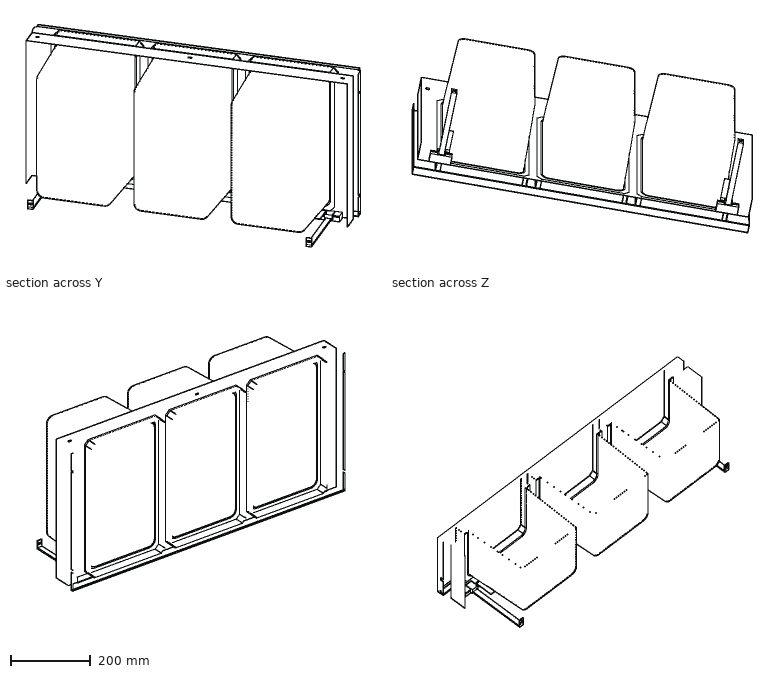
import cadquery as cq
import math

total_height = 402.0
sheet = 1.0

panel_width = 860.0
panel_height = 397.0
panel_back = 11.0
panel_front = 33.0
panel_bend = 2.0
flange_corner_cut = 5.0
hook_width = 848.0
hook_top = 399.5
hook_drop = 13.0
lip_run = 10.0
lip_rise = 9.0
notch_depth = 9.0
notches = ((343.0, 4.0), (56.0, 8.0))

frame_width = hook_width
frame_bottom = 2.5
frame_back = 52.5
frame_front = 103.5
frame_bend = 2.5
frame_plate_front = frame_back + sheet
slot_length = 9.0
slot_width = 4.0
slot_spacing = 402.0
slot_depth_position = 75.5

bin_pitch = 256.0
bin_middle = 208.75
bin_wall = 2.5
rim_back = 21.0
rim_width = 235.0
rim_height = 2 * (total_height - bin_middle)
rim_chamfer = 12.0
rim_cavity_chamfer = rim_chamfer - bin_wall * (2 - math.sqrt(2))
rim_lip = 10.0
body_clearance = 3.5
body_width = rim_width - 2 * (rim_lip + body_clearance)
body_height = rim_height - 2 * (rim_lip + body_clearance)
body_corner = 19.0
body_taper = 1.8
body_end = 237.5
body_edge_fillet = 4.0

bracket_offset = 367.0
bracket_width = 55.0
bracket_front = 78.0
base_front = 76.0
cap_bottom = 13.0
cap_top = 17.0
bridge_width = 20.0
bridge_top = 20.0
bridge_back = 60.0
bridge_front = 84.0
tongue_inner = 6.0
tongue_outer = 20.0
tongue_back = 80.0
tongue_front = 134.0
tongue_top = 30.5
tongue_thickness = 2.0
arm_width = 14.0
arm_bottom = 5.5
arm_thickness = 4.5
arm_back = 57.0
arm_front = 248.3
tip_height = 29.5
tip_thickness = 3.0
tip_slot_length = 7.0
tip_slot_width = 4.0
tip_slot_height = 20.0


def block(x_range, depth_range, z_range):
    """Box between two X values, two depths and two heights."""
    x0, x1 = x_range
    d0, d1 = depth_range
    z0, z1 = z_range
    return cq.Workplane("XY").box(x1 - x0, d1 - d0, z1 - z0, centered=False).translate((x0, -d1, z0))


def centred_block(width, depth_range, z_range):
    """Box that is symmetric about X = 0."""
    return block((-width / 2, width / 2), depth_range, z_range)


def bin_outline(depth, width, height):
    """Rectangle around the middle of a bin, ready to extrude toward -Y."""
    plane = cq.Workplane("XZ", origin=(0, -depth, bin_middle))
    return plane.rect(width, height)


def make_panel():
    """Tray with side notches, a folded bottom lip and a hook along the top."""
    outer = centred_block(panel_width, (panel_back, panel_front), (0, panel_height))
    outer = outer.edges(">Y and |Z").fillet(panel_bend)
    inner = centred_block(
        panel_width - 2 * sheet, (panel_back + sheet, panel_front), (sheet, panel_height)
    )
    inner = inner.edges(">Y and |Z").fillet(panel_bend - sheet)
    tray = outer.cut(inner)

    corner_cut = (
        cq.Workplane("YZ", origin=(-panel_width / 2, 0, 0))
        .moveTo(-panel_front, panel_height)
        .lineTo(-panel_front + flange_corner_cut, panel_height)
        .lineTo(-panel_front, panel_height - flange_corner_cut)
        .close()
        .extrude(panel_width)
    )
    tray = tray.cut(corner_cut)

    for height, opening in notches:
        z_range = (height - opening / 2, height + opening / 2)
        tray = tray.cut(centred_block(panel_width, (panel_front - notch_depth, panel_front), z_range))

    lip_slant = sheet * math.hypot(lip_run, lip_rise) / lip_rise
    lip = (
        cq.Workplane("YZ", origin=(-panel_width / 2, 0, 0))
        .moveTo(-panel_front, 0)
        .lineTo(-panel_front + lip_run, lip_rise)
        .lineTo(-panel_front + lip_run + lip_slant, lip_rise)
        .lineTo(-panel_front + lip_slant, 0)
        .close()
        .extrude(panel_width)
    )

    riser = centred_block(hook_width, (panel_back, panel_back + sheet), (panel_height / 2, hook_top))
    shelf = centred_block(hook_width, (0, panel_back + sheet), (hook_top - sheet, hook_top))
    drop = centred_block(hook_width, (0, sheet), (hook_top - hook_drop, hook_top))
    return tray.union(lip).union(riser).union(shelf).union(drop)


def make_frame():
    """Plate with bin openings, side flanges and a slotted top flange; the bottom is open."""
    outer = centred_block(frame_width, (frame_back, frame_front), (frame_bottom, total_height))
    outer = outer.edges("(>Y and (|Z or >Z)) or (|Y and >Z)").fillet(frame_bend)
    inner = centred_block(
        frame_width - 2 * sheet,
        (frame_plate_front, frame_front),
        (frame_bottom, total_height - sheet),
    )
    inner = inner.edges("(>Y and (|Z or >Z)) or (|Y and >Z)").fillet(frame_bend - sheet)
    frame = outer.cut(inner)

    for index in (-1, 0, 1):
        opening = bin_outline(frame_back, rim_width - 2 * rim_lip, rim_height - 2 * rim_lip)
        opening = opening.extrude(sheet).edges("|Y").fillet(body_corner + body_clearance)
        frame = frame.cut(opening.translate((index * bin_pitch, 0, 0)))

    slots = (
        cq.Workplane("XY", origin=(0, -slot_depth_position, total_height - sheet))
        .pushPoints([(index * slot_spacing, 0) for index in (-1, 0, 1)])
        .slot2D(slot_length, slot_width)
        .extrude(sheet)
    )
    return frame.cut(slots)


def tapered_body(start, end, inset):
    """Bin body between two depths, with its sides moved inward by the inset."""
    body = bin_outline(start, body_width - 2 * inset, body_height - 2 * inset)
    body = body.extrude(end - start, taper=body_taper)
    body = body.edges("not (|X or |Z)").fillet(body_corner - inset)
    return body.faces("<Y").edges().fillet(body_edge_fillet - inset)


def make_bin():
    """Thin-walled bin, open toward +Y, whose rim rests on the back of the frame plate."""
    rim = bin_outline(rim_back, rim_width, rim_height).extrude(frame_back - rim_back)
    rim = rim.edges("|Y").chamfer(rim_chamfer)
    rim_cavity = bin_outline(rim_back, rim_width - 2 * bin_wall, rim_height - 2 * bin_wall)
    rim_cavity = rim_cavity.extrude(frame_back - rim_back - bin_wall)
    rim_cavity = rim_cavity.edges("|Y").chamfer(rim_cavity_chamfer)
    body = tapered_body(frame_back, body_end, 0)
    body_cavity = tapered_body(frame_back - bin_wall, body_end - bin_wall, bin_wall)
    return rim.union(body).cut(rim_cavity).cut(body_cavity)


def make_arm():
    """Flat bar with an upturned, slotted tip, centred on X = 0."""
    bar = centred_block(arm_width, (arm_back, arm_front), (arm_bottom, arm_bottom + arm_thickness))
    tip = centred_block(arm_width, (arm_front - tip_thickness, arm_front), (arm_bottom, tip_height))
    slot = centred_block(
        tip_slot_length,
        (arm_front - tip_thickness, arm_front),
        (tip_slot_height - tip_slot_width / 2, tip_slot_height + tip_slot_width / 2),
    )
    return bar.union(tip).cut(slot)


def make_bracket():
    """Left-hand bracket centred on X = 0, with a channel that takes the arm."""
    base = centred_block(bracket_width, (frame_plate_front, base_front), (0, cap_bottom))
    cap = centred_block(bracket_width, (frame_plate_front, bracket_front), (cap_bottom, cap_top))
    bridge = centred_block(bridge_width, (bridge_back, bridge_front), (arm_bottom, bridge_top))

    tongue_sides = (tongue_inner, tongue_outer)
    tongue = block(tongue_sides, (tongue_back, tongue_front), (tongue_top - tongue_thickness, tongue_top))
    web = block(
        tongue_sides, (tongue_back, tongue_back + tongue_thickness), (cap_bottom, tongue_top)
    )

    channel = centred_block(
        arm_width, (arm_back, bridge_front), (arm_bottom, arm_bottom + arm_thickness)
    )
    return base.union(cap).union(bridge).union(tongue).union(web).cut(channel)


panel = make_panel()
frame = make_frame()
bins = [make_bin().translate((index * bin_pitch, 0, 0)) for index in (-1, 0, 1)]

left_bracket = make_bracket().translate((-bracket_offset, 0, 0))
brackets = [left_bracket, left_bracket.mirror("YZ")]
arms = [make_arm().translate((side * bracket_offset, 0, 0)) for side in (-1, 1)]

bodies = [panel, frame, *bins, *brackets, *arms]
result = cq.Compound.makeCompound([body.solids().val() for body in bodies])